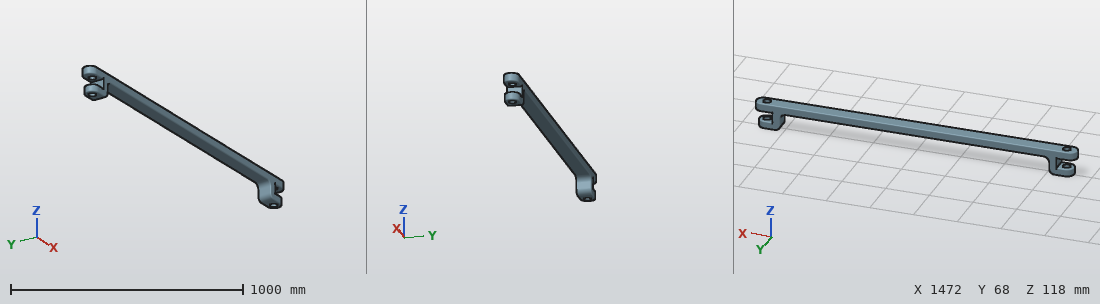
import cadquery as cq

length = 1472.0
width = 68.0
height = 118.0

bar_thickness = 38.0
lug_thickness = 35.0
lug_setback = 15.0
slot_depth = 85.0
leg_thickness = 35.0
hole_diameter = 34.0
hole_setback = 50.0

bend_radius = 25.0
edge_radius = 5.0

end_radius = width / 2
half_length = length / 2
lug_end = half_length - lug_setback
hole_x = half_length - hole_setback
slot_wall = half_length - slot_depth
leg_inner = slot_wall - leg_thickness
top = height / 2
bottom = -height / 2
bar_bottom = top - bar_thickness
lug_top = bottom + lug_thickness


def rounded_strip(end_x, z_low, z_high):
    """Flat bar with semicircular ends at X = -end_x and X = end_x."""
    strip = cq.Workplane("XY").workplane(offset=z_low).slot2D(2 * end_x, width)
    return strip.extrude(z_high - z_low)


def side_block(x_low, x_high, z_low, z_high):
    """Full-width block between the given X and Z limits."""
    block = cq.Workplane("XY").box(x_high - x_low, width, z_high - z_low)
    return block.translate(((x_low + x_high) / 2, 0, (z_low + z_high) / 2))


body = rounded_strip(half_length, bar_bottom, top)
body = body.union(rounded_strip(lug_end, bottom, bar_bottom))

body = body.cut(side_block(-leg_inner, leg_inner, bottom, bar_bottom))
for side in (-1, 1):
    for bend_z in (bar_bottom, bottom):
        bend = cq.selectors.NearestToPointSelector((side * leg_inner, 0, bend_z))
        body = body.edges("|Y").edges(bend).fillet(bend_radius)

for side in (-1, 1):
    slot_limits = sorted((side * slot_wall, side * half_length))
    body = body.cut(side_block(*slot_limits, lug_top, bar_bottom))

body = body.edges("not(|Y or |Z)").fillet(edge_radius)

result = body.cut(
    cq.Workplane("XY")
    .workplane(offset=bottom)
    .pushPoints([(-hole_x, 0), (hole_x, 0)])
    .circle(hole_diameter / 2)
    .extrude(height)
)